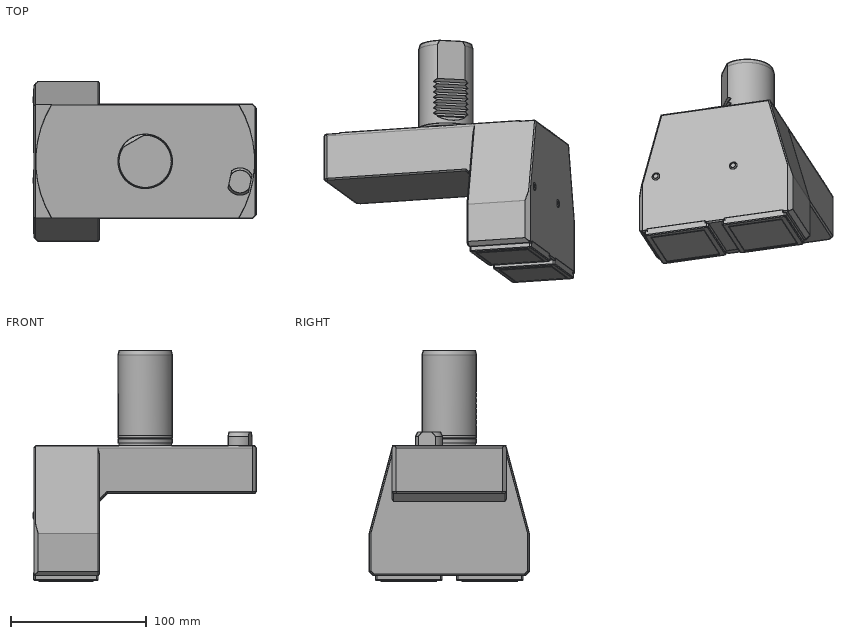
import cadquery as cq
import math


front_x = -82.0
end_x = 82.0
column_back_x = -33.7
top_half_width = 41.6
column_half_width = 59.0
side_angle = 15.0
column_bottom_z = -95.9
corner_chamfer = 3.0
edge_chamfer = 1.2
front_edge_chamfer = 1.0
side_slope = math.tan(math.radians(side_angle))
column_shoulder_z = -(column_half_width - top_half_width) / side_slope

arm_half_width = 42.2
arm_bottom_z = -35.2
gusset = 6.0
arm_overlap = 8.5

seat_radius = 80.5
seat_height = 0.5
shelf_z = -seat_height

shank_radius = 20.0
shank_height = 70.0
shank_top_chamfer = (0.8, 3.2)
neck_radius = 19.4
neck_height = 1.7
groove_low_z = 4.8
groove_high_z = 7.3
groove_floor_radius = 19.4
seal_radius = 0.8

flat_direction = 120.0
flat_distance = 17.2
root_distance = 15.3
tooth_count = 7
root_span = 24.0
tooth_pitch = root_span / (tooth_count - 1)
first_root_z = 39.1
last_land = 0.7
cutter_clearance = 1.7
run_out_drop = 3.0

pin_reach = 71.4
pin_direction = -12.0
pin_radius = 10.0
pin_height = 10.0
pin_top_chamfer = (1.7, 3.2)
pin_half_width = 7.6

pad_front_x = -82.1
pad_back_x = -34.7
pad_inner_y = 5.3
pad_outer_y = 54.4
pad_bottom_z = -99.5
pad_edge_chamfer = 0.7
pad_corner_chamfer = 1.2
tongue_top_z = -94.0
tongue_inset = 2.2
sole_bottom_z = -100.0
sole_x_inset = 3.7
sole_y_inset = 4.2

nub_radius = 2.9
nub_tip_radius = 1.9
nub_height = 0.7
nub_z = -51.5
nub_positions_y = (45.4, -14.1)


def box_between(x0, x1, y0, y1, z0, z1):
    return cq.Workplane("XY").box(x1 - x0, y1 - y0, z1 - z0, centered=False).translate((x0, y0, z0))


def end_profile(x0, x1, top_z):
    """Column cross-section with leaning sides, extruded from x0 to x1."""
    half_top = top_half_width - top_z * side_slope
    half_outline = [
        (half_top, top_z),
        (column_half_width, column_shoulder_z),
        (column_half_width, column_bottom_z + corner_chamfer),
        (column_half_width - corner_chamfer, column_bottom_z),
    ]
    mirrored = [(-y, z) for y, z in reversed(half_outline)]
    section = cq.Workplane("YZ", origin=(x0, 0, 0)).polyline(half_outline + mirrored).close()
    return section.extrude(x1 - x0)


def make_column():
    column = end_profile(front_x, column_back_x, shelf_z)
    column = column.faces(">X").edges().chamfer(edge_chamfer)
    column = column.faces("<X").edges().chamfer(front_edge_chamfer)
    plan = box_between(
        front_x, column_back_x, -column_half_width, column_half_width, column_bottom_z, shelf_z
    )
    plan = plan.edges("|Z and <X").chamfer(corner_chamfer)
    return column.intersect(plan)


def make_arm():
    inner_x = column_back_x - arm_overlap
    arm = box_between(inner_x, end_x, -arm_half_width, arm_half_width, arm_bottom_z, shelf_z)
    arm = arm.edges("|Z and >X").chamfer(corner_chamfer)
    arm = arm.faces("<Z").edges("not <X").chamfer(edge_chamfer)
    arm = arm.edges(">X and >Z").chamfer(edge_chamfer)
    arm = arm.union(make_gusset(inner_x))
    return arm.intersect(end_profile(inner_x, end_x, shelf_z))


def make_gusset(inner_x):
    """45 degree web in the corner between column and arm, running up inside the arm."""
    low_z = arm_bottom_z - gusset - arm_overlap
    web = cq.Workplane("XZ").polyline(
        [(inner_x, low_z), (inner_x, shelf_z), (inner_x + shelf_z - low_z, shelf_z)]
    )
    web = web.close().extrude(arm_half_width, both=True)
    return web.edges("not (|X or |Y or |Z)").chamfer(edge_chamfer)


def make_seat():
    disc = cq.Workplane("XY", origin=(0, 0, shelf_z)).circle(seat_radius).extrude(seat_height)
    return disc.intersect(end_profile(front_x, end_x, 0))


def make_shank():
    chamfer_radial, chamfer_axial = shank_top_chamfer
    seal_center_z = groove_high_z - seal_radius
    shank = (
        cq.Workplane("XZ")
        .moveTo(0, shelf_z)
        .lineTo(neck_radius, shelf_z)
        .lineTo(neck_radius, neck_height)
        .lineTo(shank_radius, neck_height)
        .lineTo(shank_radius, groove_low_z)
        .lineTo(groove_floor_radius, groove_low_z)
        .lineTo(groove_floor_radius, seal_center_z - seal_radius)
        .threePointArc((shank_radius, seal_center_z), (groove_floor_radius, groove_high_z))
        .lineTo(shank_radius, groove_high_z)
        .lineTo(shank_radius, shank_height - chamfer_axial)
        .lineTo(shank_radius - chamfer_radial, shank_height)
        .lineTo(0, shank_height)
        .close()
        .revolve(360, (0, 0, 0), (0, 1, 0))
    )
    return shank.cut(make_serration())


def make_serration():
    """Cutter for the flat and its V teeth; below them a slope runs out through the shank wall."""
    half_pitch = tooth_pitch / 2
    outside = shank_radius + cutter_clearance
    land_bottom_z = first_root_z - (tooth_count - 0.5) * tooth_pitch - last_land
    run_out_slope = run_out_drop / (shank_radius - flat_distance)
    outline = [
        (outside, shank_height),
        (flat_distance, shank_height),
        (flat_distance, first_root_z + half_pitch),
    ]
    for index in range(tooth_count):
        root_z = first_root_z - index * tooth_pitch
        outline.append((root_distance, root_z))
        outline.append((flat_distance, root_z - half_pitch))
    outline.append((flat_distance, land_bottom_z))
    outline.append((outside, land_bottom_z - (outside - flat_distance) * run_out_slope))
    cutter = cq.Workplane("XZ").polyline(outline).close().extrude(shank_radius, both=True)
    return cutter.rotate((0, 0, 0), (0, 0, 1), flat_direction)


def make_pin():
    radial, axial = pin_top_chamfer
    outline = [
        (0, shelf_z),
        (pin_radius, shelf_z),
        (pin_radius, pin_height - axial),
        (pin_radius - radial, pin_height),
        (0, pin_height),
    ]
    pin = cq.Workplane("XZ").polyline(outline).close().revolve(360, (0, 0, 0), (0, 1, 0))
    flats = box_between(
        -pin_half_width, pin_half_width, -pin_radius, pin_radius, shelf_z, pin_height
    )
    pin = pin.intersect(flats).translate((pin_reach, 0, 0))
    return pin.rotate((0, 0, 0), (0, 0, 1), pin_direction)


def make_pad():
    """Foot pad on the +Y side."""
    pad = box_between(
        pad_front_x, pad_back_x, pad_inner_y, pad_outer_y, pad_bottom_z, column_bottom_z
    )
    pad = pad.edges("|Z").chamfer(pad_corner_chamfer)
    pad = pad.faces("<Z").edges().chamfer(pad_edge_chamfer)
    tongue = box_between(
        pad_front_x,
        pad_back_x,
        pad_inner_y + tongue_inset,
        pad_outer_y - tongue_inset,
        column_bottom_z,
        tongue_top_z,
    )
    sole = box_between(
        pad_front_x + sole_x_inset,
        pad_back_x - sole_x_inset,
        pad_inner_y + sole_y_inset,
        pad_outer_y - sole_y_inset,
        sole_bottom_z,
        pad_bottom_z,
    )
    return pad.union(tongue).union(sole)


def make_nub(y):
    nub = cq.Workplane("YZ", origin=(front_x, y, nub_z)).circle(nub_radius)
    return nub.workplane(offset=-nub_height).circle(nub_tip_radius).loft()


result = make_column().union(make_arm()).union(make_seat()).union(make_shank()).union(make_pin())
foot_pad = make_pad()
result = result.union(foot_pad).union(foot_pad.mirror("XZ"))
for nub_y in nub_positions_y:
    result = result.union(make_nub(nub_y))